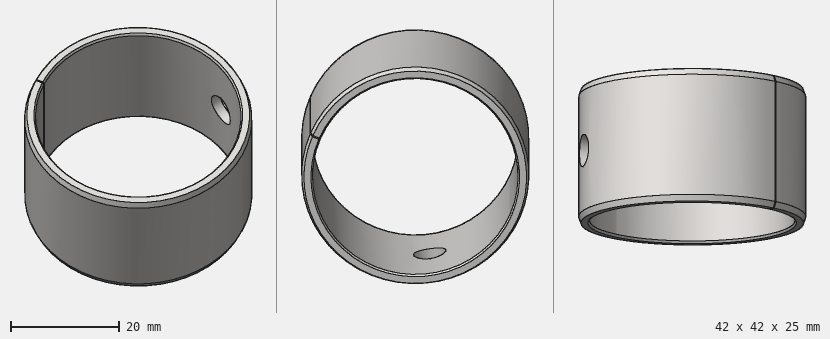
import cadquery as cq
import math

outer_radius = 21.0
wall = 2.0
height = 25.0
inner_radius = outer_radius - wall

outer_chamfer_height = 1.18
outer_chamfer_angle = 20.0
outer_chamfer_depth = outer_chamfer_height * math.tan(math.radians(outer_chamfer_angle))
inner_chamfer_height = 0.45
inner_chamfer_depth = 0.3

slit_width = 0.25

hole_diameter = 6.0
hole_angle = 59.0


def make_sleeve():
    """Revolve the chamfered wall section about Z, centred on the origin."""
    top = height / 2
    end_outer_radius = outer_radius - outer_chamfer_depth
    end_inner_radius = inner_radius + inner_chamfer_depth
    outer_edge = top - outer_chamfer_height
    inner_edge = top - inner_chamfer_height
    section = [
        (end_inner_radius, -top),
        (end_outer_radius, -top),
        (outer_radius, -outer_edge),
        (outer_radius, outer_edge),
        (end_outer_radius, top),
        (end_inner_radius, top),
        (inner_radius, inner_edge),
        (inner_radius, -inner_edge),
    ]
    return cq.Workplane("XZ").polyline(section).close().revolve(360, (0, 0), (0, 1))


def make_slit():
    """Cutter from the axis out past the -X side of the wall."""
    slit_length = 2 * outer_radius
    return cq.Workplane("XY").box(slit_length, slit_width, height).translate((-slit_length / 2, 0, 0))


def make_oil_hole():
    """Cutter from the axis out past the wall, turned to the hole angle."""
    cutter = cq.Workplane("YZ").circle(hole_diameter / 2).extrude(2 * outer_radius)
    return cutter.rotate((0, 0, 0), (0, 0, 1), hole_angle)


result = make_sleeve().cut(make_slit()).cut(make_oil_hole())